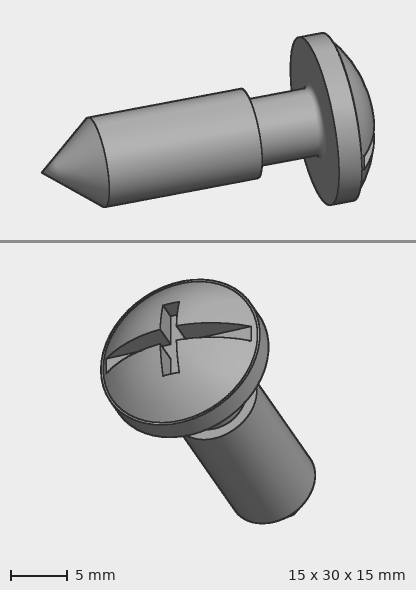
import cadquery as cq
import math


head_diameter = 15.0
head_radius = head_diameter / 2
rim_height = 2.1
dome_base_radius = 7.28
dome_height = 2.95

neck_radius = 3.0
neck_length = 6.0
neck_fillet = 0.5
shank_radius = 4.02
shank_length = 14.0
tip_length = 5.0

slot_width = 1.53
slot_depth = 2.55
cross_slot_length = head_radius

apex_y = rim_height + dome_height
shank_start_y = -neck_length
shank_end_y = shank_start_y - shank_length
tip_y = shank_end_y - tip_length

dome_sphere_radius = (dome_base_radius**2 + dome_height**2) / (2 * dome_height)
dome_half_angle = math.asin(dome_base_radius / dome_sphere_radius) / 2
dome_mid_point = (
    dome_sphere_radius * math.sin(dome_half_angle),
    apex_y - dome_sphere_radius * (1 - math.cos(dome_half_angle)),
)

fillet_mid_offset = neck_fillet * (1 - math.sqrt(0.5))
fillet_mid_point = (neck_radius + fillet_mid_offset, -fillet_mid_offset)


def turned_body():
    """Half profile from tip to apex, revolved about the Y axis."""
    return (
        cq.Workplane("XY")
        .moveTo(0, tip_y)
        .lineTo(shank_radius, shank_end_y)
        .lineTo(shank_radius, shank_start_y)
        .lineTo(neck_radius, shank_start_y)
        .lineTo(neck_radius, -neck_fillet)
        .threePointArc(fillet_mid_point, (neck_radius + neck_fillet, 0))
        .lineTo(head_radius, 0)
        .lineTo(head_radius, rim_height)
        .lineTo(dome_base_radius, rim_height)
        .threePointArc(dome_mid_point, (0, apex_y))
        .close()
        .revolve(360, (0, 0, 0), (0, 1, 0))
    )


def slot_cutter(length_x, length_z):
    """Block reaching from the dome apex down to the slot floor."""
    return (
        cq.Workplane("XY")
        .box(length_x, slot_depth, length_z)
        .translate((0, apex_y - slot_depth / 2, 0))
    )


main_slot = slot_cutter(head_diameter, slot_width)
cross_slot = slot_cutter(slot_width, cross_slot_length)

result = turned_body().cut(main_slot).cut(cross_slot)